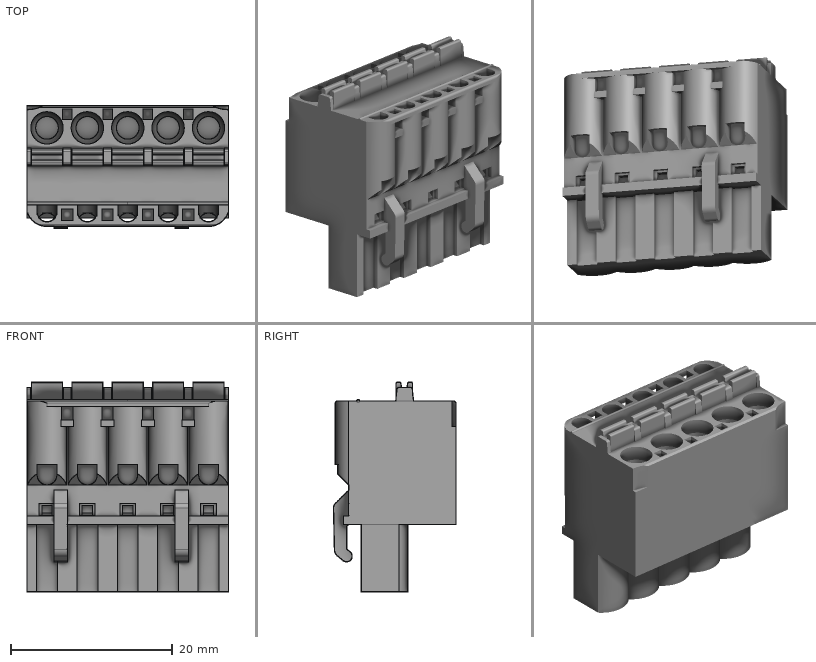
import cadquery as cq
import math


pole_count = 5
width = 25.0
pitch = width / pole_count
housing_depth = 13.3
housing_bottom = 8.32
housing_top = 23.65
total_height = 26.0
back_chamfer_depth = 0.23
back_chamfer_drop = 0.2
corner_relief_depth = 0.52
corner_relief_width = 2.03
corner_relief_bottom = 20.5
ridge_y = 1.17
ridge_radius = 0.18

funnel_radius = 2.57
funnel_reach = 1.66
funnel_wall_bottom = 13.25
lip_thickness = 0.7
lip_round = 0.25
wire_hole_width = 2.45
wire_hole_front = -1.07
wire_hole_back = 1.01
wire_window_top = 15.75

front_pocket_size = 1.4
front_pocket_back = 0.5
front_pocket_floor = 21.32
pocket_sill_width = 1.59
pocket_sill_bottom = 20.51
pocket_sill_reach = 1.01

well_y = 10.55
well_diameter = 4.0
well_floor_diameter = 2.8
well_straight_depth = 1.85
well_cone_depth = 0.6
back_pocket_width = 1.17
back_pocket_front = 11.62
back_pocket_back = 12.9
back_pocket_depth = 2.35

lever_width = 3.85
lever_front = 5.85
lever_back = 7.93
lever_rib_base = 0.73
lever_rib_tip = 0.6
lever_rib_round = 0.2
lever_floor = 25.27
post_gap = 0.08
post_front = 5.82
post_back = 8.05
post_top = 25.35
post_taper = 0.2
post_round = 0.25

ledge_top = 9.39
ledge_reach = 0.62
window_width = 1.92
window_bottom = 9.5
window_top = 10.95
window_depth = 0.57
inner_window_width = 1.3
inner_window_top = 10.7
inner_sill_top = 9.75
inner_sill_depth = 0.1

clip_width = 1.7
clip_offset = 1.7
clip_poles = (0, 3)
clip_top = 12.6
clip_reach = 1.9
clip_lower_reach = 1.77
clip_inner_reach = 0.2
clip_root_fillet = 0.23
clip_shoulder_fillet = 0.78
clip_heel_fillet = 1.01
hook_y = -0.25
hook_z = 4.42
hook_radius = 0.7
hook_turn = math.radians(50)

plug_front = 1.53
plug_side_back = 6.25
plug_back = 7.33
plug_groove_width = 2.6
plug_groove_depth = 0.65

half_width = width / 2
pole_xs = [(i - (pole_count - 1) / 2) * pitch for i in range(pole_count)]
gap_xs = [x + pitch / 2 for x in pole_xs[:-1]]


def block(x_center, x_size, y_min, y_max, z_min, z_max):
    """Box centred on x_center in X, with given Y and Z limits."""
    return cq.Workplane("XY").box(x_size, y_max - y_min, z_max - z_min).translate(
        (x_center, (y_min + y_max) / 2, (z_min + z_max) / 2)
    )


def side_profile(points, x_center, x_size):
    """Prism along X from a closed outline of (y, z) points."""
    return (
        cq.Workplane("YZ", origin=(x_center, 0, 0))
        .polyline(points)
        .close()
        .extrude(x_size / 2, both=True)
    )


def make_housing():
    """Main block with its ledge, the half-round ridge on top and the trimmed back edge."""
    body = block(0, width, 0, housing_depth, housing_bottom, housing_top)
    back_edge = side_profile(
        [
            (housing_depth - back_chamfer_depth, housing_top),
            (housing_depth, housing_top),
            (housing_depth, housing_top - back_chamfer_drop),
        ],
        0,
        width,
    )
    ledge = block(0, width, -ledge_reach, plug_front, housing_bottom, ledge_top)
    ridge = (
        cq.Workplane("YZ", origin=(0, ridge_y, housing_top))
        .circle(ridge_radius)
        .extrude(half_width, both=True)
    )
    body = body.cut(back_edge).union(ledge).union(ridge)
    for side in (-1, 1):
        body = body.cut(corner_relief(side))
    return body


def corner_relief(side):
    """Hollow relief of one upper back corner, deepest at the end face of the housing."""
    radius = (corner_relief_width**2 + corner_relief_depth**2) / (2 * corner_relief_depth)
    relief_back = housing_depth - corner_relief_depth
    edge_x = side * half_width
    inner_x = side * (half_width - corner_relief_width)
    return (
        cq.Workplane("XY", origin=(0, 0, corner_relief_bottom))
        .moveTo(inner_x, housing_depth)
        .radiusArc((edge_x, relief_back), -side * radius)
        .lineTo(edge_x, housing_depth)
        .close()
        .extrude(housing_top - corner_relief_bottom)
    )


def make_funnels():
    """Half-round columns with a common lip on top and a 45 degree cut below."""
    center_y = funnel_radius - funnel_reach
    funnels = block(
        0, pole_xs[-1] - pole_xs[0], -funnel_reach, 0, housing_top - lip_thickness, housing_top
    )
    front_half = block(0, width, -funnel_reach, 0, funnel_wall_bottom, housing_top)
    for x in pole_xs:
        column = (
            cq.Workplane("XY", origin=(x, center_y, funnel_wall_bottom))
            .circle(funnel_radius)
            .extrude(housing_top - funnel_wall_bottom)
        )
        funnels = funnels.union(column.intersect(front_half))
    under_cut = side_profile(
        [
            (0, funnel_wall_bottom),
            (-funnel_reach, funnel_wall_bottom),
            (-funnel_reach, funnel_wall_bottom + funnel_reach),
        ],
        0,
        width,
    )
    lip_edge = (
        cq.Workplane("YZ")
        .moveTo(-funnel_reach, housing_top)
        .lineTo(-funnel_reach, housing_top - lip_round)
        .radiusArc((lip_round - funnel_reach, housing_top), lip_round)
        .close()
        .extrude(half_width, both=True)
    )
    return funnels.cut(under_cut).cut(lip_edge)


def wire_hole(x):
    """Vertical U-shaped hole that leaves through a round-bottomed window in the front."""
    radius = wire_hole_width / 2
    round_y = wire_hole_front + radius
    round_z = funnel_wall_bottom + radius
    shaft = (
        cq.Workplane("XY", origin=(x, 0, round_z))
        .moveTo(-radius, wire_hole_back)
        .lineTo(-radius, round_y)
        .threePointArc((0, wire_hole_front), (radius, round_y))
        .lineTo(radius, wire_hole_back)
        .close()
        .extrude(housing_top - round_z)
    )
    window = (
        cq.Workplane("XZ", origin=(x, wire_hole_back, 0))
        .moveTo(-radius, wire_window_top)
        .lineTo(-radius, round_z)
        .threePointArc((0, funnel_wall_bottom), (radius, round_z))
        .lineTo(radius, wire_window_top)
        .close()
        .extrude(wire_hole_back + funnel_reach)
    )
    return shaft.union(window)


def front_pocket(x):
    """Square shaft from above that is open to the front below the lip."""
    front = front_pocket_back - front_pocket_size
    lip_bottom = housing_top - lip_thickness
    outline = [
        (front_pocket_back, pocket_sill_bottom),
        (front_pocket_back, housing_top),
        (front, housing_top),
        (front, lip_bottom),
        (-funnel_reach, lip_bottom),
        (-funnel_reach, pocket_sill_bottom),
    ]
    return side_profile(outline, x, front_pocket_size)


def pocket_sill(x):
    """Wider block that closes the lower end of the shaft and forms the pocket floor."""
    front = -pocket_sill_reach
    return block(
        x, pocket_sill_width, front, front_pocket_back, pocket_sill_bottom, front_pocket_floor
    )


def screw_well(x):
    """Blind well that narrows in a cone to a flat floor."""
    cone_top = housing_top - well_straight_depth
    floor = cone_top - well_cone_depth
    return (
        cq.Workplane("XZ", origin=(x, well_y, 0))
        .moveTo(0, housing_top)
        .lineTo(well_diameter / 2, housing_top)
        .lineTo(well_diameter / 2, cone_top)
        .lineTo(well_floor_diameter / 2, floor)
        .lineTo(0, floor)
        .close()
        .revolve(360, (0, 0, 0), (0, 1, 0))
    )


def back_pocket(x):
    floor = housing_top - back_pocket_depth
    return block(x, back_pocket_width, back_pocket_front, back_pocket_back, floor, housing_top)


def lever(x):
    """Upright lever with two rounded ribs along its top."""
    base = block(x, lever_width, lever_front, lever_back, housing_top, lever_floor)
    for outer_y, inward in ((lever_front, 1), (lever_back, -1)):
        rib_outline = [
            (outer_y, lever_floor),
            (outer_y, total_height),
            (outer_y + inward * lever_rib_tip, total_height),
            (outer_y + inward * lever_rib_base, lever_floor),
        ]
        rib = side_profile(rib_outline, x, lever_width)
        base = base.union(rib.edges(">Z and |X").fillet(lever_rib_round))
    return base


def post(x_min, x_max):
    """Tapered post with rounded upper edges, filling the space between two levers."""
    outline = [
        (post_front, housing_top),
        (post_back, housing_top),
        (post_back - post_taper, post_top),
        (post_front + post_taper, post_top),
    ]
    shape = side_profile(outline, (x_min + x_max) / 2, x_max - x_min)
    return shape.edges(">Z and |X").fillet(post_round)


def make_lever_row():
    row = cq.Workplane("XY")
    clearance = lever_width / 2 + post_gap
    for x in pole_xs:
        row = row.union(lever(x))
    post_starts = [-half_width] + [x + clearance for x in pole_xs]
    post_ends = [x - clearance for x in pole_xs] + [half_width]
    for start, end in zip(post_starts, post_ends):
        row = row.union(post(start, end))
    return row


def inspection_window(x):
    """Stepped window whose inner part ends in a 45 degree ramp."""
    outer = block(x, window_width, 0, window_depth, window_bottom, window_top)
    sill_y = window_depth + inner_sill_depth
    ramp_end = sill_y + inner_window_top - inner_sill_top
    inner = side_profile(
        [
            (window_depth, window_bottom),
            (sill_y, window_bottom),
            (sill_y, inner_sill_top),
            (ramp_end, inner_window_top),
            (window_depth, inner_window_top),
        ],
        x,
        inner_window_width,
    )
    return outer.union(inner)


def latch_clip(x):
    """Clip with a sloped shoulder, a tapered arm and a round hook at the lower end."""
    along_y = math.sin(hook_turn)
    along_z = math.cos(hook_turn)
    outer_y = hook_y - hook_radius * along_z
    outer_z = hook_z - hook_radius * along_y
    inner_y = hook_y + hook_radius * along_z
    inner_z = hook_z + hook_radius * along_y
    tip = (hook_y + hook_radius * along_y, hook_z - hook_radius * along_z)
    heel_z = outer_z + (outer_y + clip_lower_reach) / math.tan(hook_turn)
    inner_turn_z = inner_z + (inner_y + clip_inner_reach) / math.tan(hook_turn)
    shoulder_z = clip_top - clip_reach
    clip = (
        cq.Workplane("YZ", origin=(x, 0, 0))
        .moveTo(0, clip_top)
        .lineTo(-clip_reach, shoulder_z)
        .lineTo(-clip_lower_reach, heel_z)
        .lineTo(outer_y, outer_z)
        .threePointArc(tip, (inner_y, inner_z))
        .lineTo(-clip_inner_reach, inner_turn_z)
        .lineTo(-clip_inner_reach, housing_bottom - clip_root_fillet)
        .tangentArcPoint((clip_root_fillet, clip_root_fillet))
        .lineTo(clip_root_fillet - clip_inner_reach, ledge_top)
        .lineTo(0, ledge_top)
        .close()
        .extrude(clip_width / 2, both=True)
    )
    shoulder = cq.selectors.NearestToPointSelector((x, -clip_reach, shoulder_z))
    heel = cq.selectors.NearestToPointSelector((x, -clip_lower_reach, heel_z))
    clip = clip.edges(shoulder).fillet(clip_shoulder_fillet)
    return clip.edges(heel).fillet(clip_heel_fillet)


def make_plug():
    """Plug body with one rounded lobe per pole at the back and one groove per pole in front."""
    bulge = plug_back - plug_side_back
    lobe_radius = ((pitch / 2) ** 2 + bulge**2) / (2 * bulge)
    outline = (
        cq.Workplane("XY")
        .moveTo(half_width, plug_side_back)
        .lineTo(half_width, plug_front)
        .lineTo(-half_width, plug_front)
        .lineTo(-half_width, plug_side_back)
    )
    for x in pole_xs:
        outline = outline.radiusArc((x + pitch / 2, plug_side_back), lobe_radius)
    plug = outline.close().extrude(housing_bottom)
    for x in pole_xs:
        groove_back = plug_front + plug_groove_depth
        plug = plug.cut(block(x, plug_groove_width, plug_front, groove_back, 0, housing_bottom))
    return plug


result = make_housing().union(make_funnels())
for x in gap_xs:
    result = result.cut(front_pocket(x)).cut(back_pocket(x)).union(pocket_sill(x))
for x in pole_xs:
    result = result.cut(wire_hole(x)).cut(screw_well(x)).cut(inspection_window(x))
for pole in clip_poles:
    result = result.union(latch_clip(pole_xs[pole] + clip_offset))
result = result.union(make_lever_row()).union(make_plug())